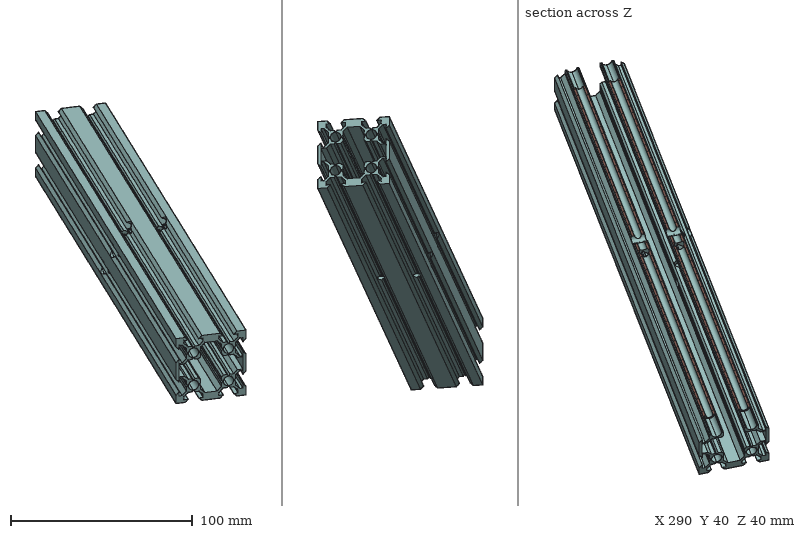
import cadquery as cq

LENGTH = 290.0
SIDE = 40.0
HALF = SIDE / 2

SLOT_OFFSET = SIDE / 4
SLOT_MOUTH_WIDTH = 9.5
LIP_DEPTH = 1.8
SLOT_NECK_WIDTH = SLOT_MOUTH_WIDTH - 2 * LIP_DEPTH
SLOT_INNER_WIDTH = 11.0
SLOT_WALL_DEPTH = 3.5

CORE_HALF = 4.0
CORE_CHAMFER = 1.2
GROOVE_HALF = 1.0
GROOVE_DEPTH = 1.0
SLOT_DEPTH = HALF - SLOT_OFFSET - CORE_HALF
SLOT_FLOOR_HALF = SLOT_INNER_WIDTH / 2 - (SLOT_DEPTH - SLOT_WALL_DEPTH)

BORE_DIAMETER = 4.0
BORE_END_DIAMETER = 5.8
BORE_END_DEPTH = 14.5

CAVITY_ARM_WIDTH = 7.5
THICK_WALL = 4.5
THIN_WALL = 1.7

CROSS_HOLE_DIAMETER = 5.2
CROSS_HOLE_STAGGER = SLOT_OFFSET
LIP_CUT_DIAMETER = 9.3
LIP_CUT_DEPTH = 5.5


def prism(outline):
    """Solid of the (y, z) outline along the whole bar."""
    return cq.Workplane("YZ").polyline(outline).close().extrude(LENGTH / 2, both=True)


def slot(centre):
    """V-slot in the top face, centred at y = centre."""
    right = [
        (SLOT_MOUTH_WIDTH / 2, 0),
        (SLOT_NECK_WIDTH / 2, LIP_DEPTH),
        (SLOT_INNER_WIDTH / 2, LIP_DEPTH),
        (SLOT_INNER_WIDTH / 2, SLOT_WALL_DEPTH),
        (SLOT_FLOOR_HALF, SLOT_DEPTH),
        (GROOVE_HALF, SLOT_DEPTH),
    ]
    left = [(-across, depth) for across, depth in reversed(right)]
    across_and_depth = right + [(0, SLOT_DEPTH + GROOVE_DEPTH)] + left
    return prism([(centre + across, HALF - depth) for across, depth in across_and_depth])


def cavity():
    """Cross-shaped cavity between the cores, mirrored from its +Y +Z quarter."""
    core_near = SLOT_OFFSET - CORE_HALF
    core_far = SLOT_OFFSET + CORE_HALF - CORE_CHAMFER
    side_arm_end = HALF - THIN_WALL
    top_arm_end = HALF - THICK_WALL
    quarter = [
        (side_arm_end, CAVITY_ARM_WIDTH / 2),
        (core_far + core_near - CAVITY_ARM_WIDTH / 2, CAVITY_ARM_WIDTH / 2),
        (core_far, core_near),
        (SLOT_OFFSET + GROOVE_HALF, core_near),
        (SLOT_OFFSET, core_near + GROOVE_DEPTH),
        (SLOT_OFFSET - GROOVE_HALF, core_near),
        (core_near + CORE_CHAMFER, core_near),
        (core_near, core_near + CORE_CHAMFER),
        (core_near, SLOT_OFFSET - GROOVE_HALF),
        (core_near + GROOVE_DEPTH, SLOT_OFFSET),
        (core_near, SLOT_OFFSET + GROOVE_HALF),
        (core_near, core_far),
        (core_near - (top_arm_end - core_far), top_arm_end),
    ]
    upper = quarter + [(-y, z) for y, z in reversed(quarter)]
    return prism(upper + [(y, -z) for y, z in reversed(upper)])


def bore(y, z):
    """Bore along the bar, wider at both ends."""
    start = cq.Workplane("YZ", origin=(0, y, z))
    narrow = start.circle(BORE_DIAMETER / 2).extrude(LENGTH / 2, both=True)
    wide = start.circle(BORE_END_DIAMETER / 2).extrude(LENGTH / 2, both=True)
    middle = start.circle(BORE_END_DIAMETER / 2).extrude(LENGTH / 2 - BORE_END_DEPTH, both=True)
    return narrow.union(wide.cut(middle))


def cross_hole(plane, along, across):
    """Hole right through the bar, entering from the face that the plane's normal points to."""
    start = cq.Workplane(plane).center(along, across)
    hole = start.circle(CROSS_HOLE_DIAMETER / 2).extrude(HALF, both=True)
    lip_cut_start = start.workplane(offset=HALF - LIP_CUT_DEPTH)
    lip_cut = lip_cut_start.circle(LIP_CUT_DIAMETER / 2).extrude(LIP_CUT_DEPTH)
    return hole.union(lip_cut)


bar = cq.Workplane("YZ").rect(SIDE, SIDE).extrude(LENGTH / 2, both=True)

for face in range(4):
    for centre in (-SLOT_OFFSET, SLOT_OFFSET):
        turned_slot = slot(centre).rotate((0, 0, 0), (1, 0, 0), 90 * face)
        bar = bar.cut(turned_slot)

bar = bar.cut(cavity())

for y in (-SLOT_OFFSET, SLOT_OFFSET):
    for z in (-SLOT_OFFSET, SLOT_OFFSET):
        bar = bar.cut(bore(y, z))

for side in (-1, 1):
    bar = bar.cut(cross_hole("XY", 0, side * SLOT_OFFSET))
    bar = bar.cut(cross_hole("XZ", side * CROSS_HOLE_STAGGER, side * SLOT_OFFSET))

result = bar